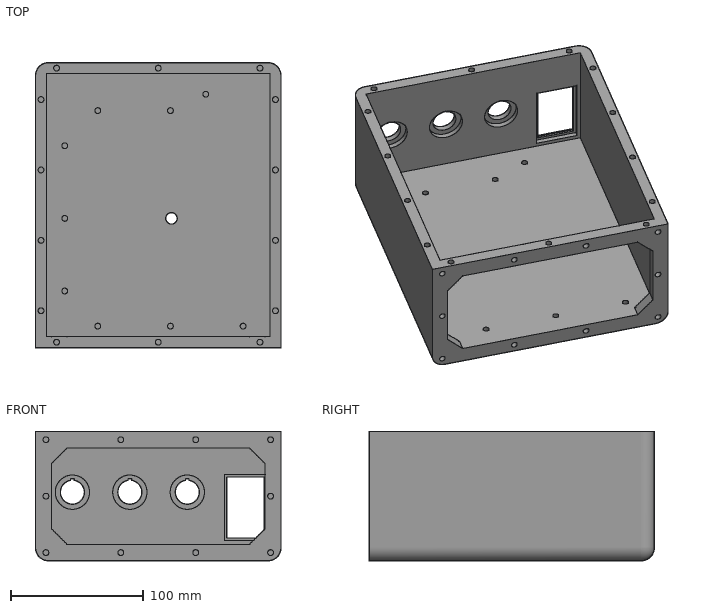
import cadquery as cq

WIDTH = 186.0
DEPTH = 216.0
HEIGHT = 98.0
WALL = 8.5
FLOOR = 12.5
EDGE_RADIUS = 10.0

OPENING_SIDE_MARGIN = 12.0
OPENING_WIDTH = WIDTH - 2 * OPENING_SIDE_MARGIN
OPENING_HEIGHT = HEIGHT - 2 * FLOOR
OPENING_CHAMFER = 12.0

SCREW_DIAMETER = 4.4
SCREW_DEPTH = 6.0
FRONT_SCREW_PITCH_X = 56.7
FRONT_SCREW_EDGE_Z = FLOOR / 2
RIM_INSET = WALL / 2
RIM_END_PITCH = 77.0
RIM_SIDE_PITCH = 53.3

DRAIN_DIAMETER = 8.5
DRAIN_X = 10.0
DRAIN_Y = -10.0
MOUNT_PITCH = 55.0
MOUNT_CENTER_X = 9.2
MOUNT_LEFT_OFFSET = 80.0
MOUNT_END_OFFSET = 81.6
EXTRA_MOUNT = (36.0, 84.0)

CONNECTOR_DIAMETER = 18.0
RECESS_DIAMETER = 26.0
RECESS_DEPTH = 4.0
CONNECTOR_PITCH = 43.5
CONNECTOR_FIRST_X = -65.0
CONNECTOR_COUNT = 3
CONNECTOR_Z = 52.0
KEY_WIDTH = 2.5
KEY_REACH = 10.0

WINDOW_WIDTH = 28.0
WINDOW_HEIGHT = 46.0
WINDOW_X = 66.0
WINDOW_Z = 40.4
WINDOW_LIP = 2.0
WINDOW_RECESS_DEPTH = 3.5
WINDOW_WEB = 1.5

FRONT_Y = -DEPTH / 2
BACK_Y = DEPTH / 2
INNER_BACK_Y = BACK_Y - WALL


def make_shell():
    """Open-topped box with rounded back corners and rounded lower edges."""
    body = cq.Workplane("XY").box(WIDTH, DEPTH, HEIGHT, centered=(True, True, False))
    body = body.edges("|Z and >Y").fillet(EDGE_RADIUS)
    body = body.faces("<Z").edges("not <Y").fillet(EDGE_RADIUS)
    cavity = (
        cq.Workplane("XY", origin=(0, 0, FLOOR))
        .rect(WIDTH - 2 * WALL, DEPTH - 2 * WALL)
        .extrude(HEIGHT)
    )
    return body.cut(cavity)


def upright_plane(y):
    """Workplane at the given y: local x is X, local y is Z, negative extrusion runs toward +Y."""
    return cq.Workplane(cq.Plane(origin=(0, y, 0), xDir=(1, 0, 0), normal=(0, -1, 0)))


def front_opening():
    """Chamfered rectangle through the front wall."""
    return (
        upright_plane(FRONT_Y)
        .center(0, HEIGHT / 2)
        .rect(OPENING_WIDTH, OPENING_HEIGHT)
        .extrude(-WALL)
        .edges("|Y")
        .chamfer(OPENING_CHAMFER)
    )


def front_screw_holes():
    outer_x = 1.5 * FRONT_SCREW_PITCH_X
    inner_x = 0.5 * FRONT_SCREW_PITCH_X
    points = [(x, HEIGHT / 2) for x in (-outer_x, outer_x)]
    for z in (FRONT_SCREW_EDGE_Z, HEIGHT - FRONT_SCREW_EDGE_Z):
        points += [(x, z) for x in (-outer_x, -inner_x, inner_x, outer_x)]
    return upright_plane(FRONT_Y).pushPoints(points).circle(SCREW_DIAMETER / 2).extrude(-SCREW_DEPTH)


def holes_down(z, points):
    """Blind screw holes running down from height z."""
    return (
        cq.Workplane("XY", origin=(0, 0, z))
        .pushPoints(points)
        .circle(SCREW_DIAMETER / 2)
        .extrude(-SCREW_DEPTH)
    )


def rim_screw_holes():
    points = []
    for side in (-1, 1):
        end_y = side * (DEPTH / 2 - RIM_INSET)
        side_x = side * (WIDTH / 2 - RIM_INSET)
        points += [(i * RIM_END_PITCH, end_y) for i in (-1, 0, 1)]
        points += [(side_x, i * RIM_SIDE_PITCH) for i in (-1.5, -0.5, 0.5, 1.5)]
    return holes_down(HEIGHT, points)


def floor_screw_holes():
    left_x = MOUNT_CENTER_X - MOUNT_LEFT_OFFSET
    front_y = DRAIN_Y - MOUNT_END_OFFSET
    back_y = DRAIN_Y + MOUNT_END_OFFSET
    points = [EXTRA_MOUNT]
    points += [(left_x, DRAIN_Y + i * MOUNT_PITCH) for i in (-1, 0, 1)]
    points += [(MOUNT_CENTER_X + i * MOUNT_PITCH, front_y) for i in (-1, 0, 1)]
    points += [(MOUNT_CENTER_X + i * MOUNT_PITCH, back_y) for i in (-1, 0)]
    return holes_down(FLOOR, points)


def drain_hole():
    return cq.Workplane("XY").center(DRAIN_X, DRAIN_Y).circle(DRAIN_DIAMETER / 2).extrude(FLOOR)


def connector_hole(x):
    """Through hole with a key notch on top and a round recess on the inside."""
    base = upright_plane(INNER_BACK_Y).center(x, CONNECTOR_Z)
    hole = base.circle(CONNECTOR_DIAMETER / 2).extrude(-WALL)
    key = base.center(0, KEY_REACH / 2).rect(KEY_WIDTH, KEY_REACH).extrude(-WALL)
    recess = base.circle(RECESS_DIAMETER / 2).extrude(-RECESS_DEPTH)
    return hole.union(key).union(recess)


def socket_window():
    """Rectangular window through a thin web, with equal wider recesses inside and outside."""
    outer_recess_y = INNER_BACK_Y + WINDOW_RECESS_DEPTH + WINDOW_WEB
    opening = upright_plane(INNER_BACK_Y).center(WINDOW_X, WINDOW_Z)
    cutter = opening.rect(WINDOW_WIDTH, WINDOW_HEIGHT).extrude(-WALL)
    for start_y, depth in (
        (INNER_BACK_Y, WINDOW_RECESS_DEPTH),
        (outer_recess_y, BACK_Y - outer_recess_y),
    ):
        recess = upright_plane(start_y).center(WINDOW_X, WINDOW_Z)
        recess = recess.rect(WINDOW_WIDTH + 2 * WINDOW_LIP, WINDOW_HEIGHT + 2 * WINDOW_LIP)
        cutter = cutter.union(recess.extrude(-depth))
    return cutter


result = (
    make_shell()
    .cut(front_opening())
    .cut(front_screw_holes())
    .cut(rim_screw_holes())
    .cut(floor_screw_holes())
    .cut(drain_hole())
    .cut(socket_window())
)
for index in range(CONNECTOR_COUNT):
    result = result.cut(connector_hole(CONNECTOR_FIRST_X + index * CONNECTOR_PITCH))